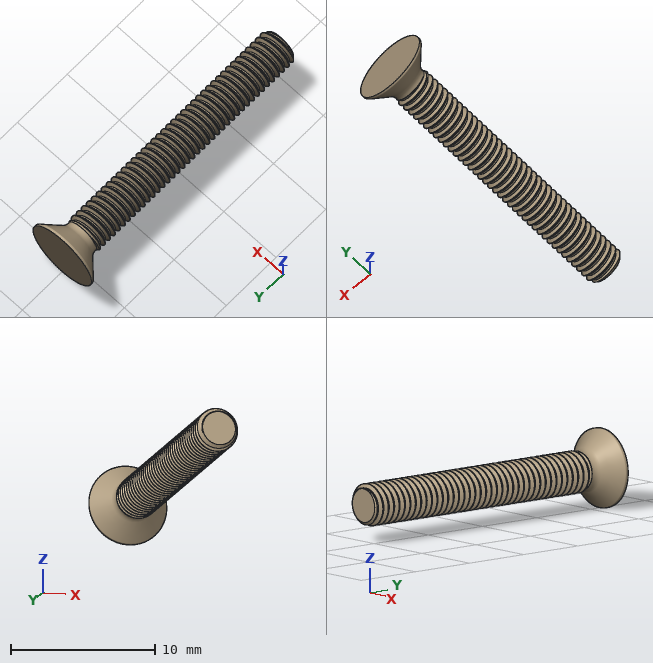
import cadquery as cq
import math


screw_length = 22.0
head_diameter = 5.6
rim_height = 0.2
rim_fillet = 0.09
neck_radius = 1.35
neck_fillet = 0.73
neck_end = 2.05
run_in_length = 0.25
turns_along_screw = 44
major_radius = 1.5
tip_chamfer = 0.3
crest_clearance = 0.07
envelope_seam_angle = 37

pitch = screw_length / turns_along_screw
head_radius = head_diameter / 2
flank_slope = math.tan(math.radians(30))
crest_width = pitch / 8
root_width = pitch / 4
thread_depth = (pitch - crest_width - root_width) / (2 * flank_slope)
minor_radius = major_radius - thread_depth


def revolve_profile(profile):
    """Revolve a half profile, drawn as radius against axial distance, about the screw axis."""
    return profile.close().revolve(360, (0, 0, 0), (0, 1, 0))


def make_head_and_neck():
    """Countersunk head blended into the plain neck."""
    cone_angle = math.radians(45)
    cone_end_radius = neck_radius + neck_fillet * (1 - math.cos(cone_angle))
    cone_end = rim_height + (head_radius - cone_end_radius) / math.tan(cone_angle)
    fillet_end = cone_end + neck_fillet * math.sin(cone_angle)
    mid_angle = cone_angle / 2
    fillet_mid = (
        neck_radius + neck_fillet * (1 - math.cos(mid_angle)),
        fillet_end - neck_fillet * math.sin(mid_angle),
    )
    profile = (
        cq.Workplane("XZ")
        .lineTo(head_radius, 0)
        .lineTo(head_radius, rim_height)
        .lineTo(cone_end_radius, cone_end)
        .threePointArc(fillet_mid, (neck_radius, fillet_end))
        .lineTo(neck_radius, neck_end)
        .lineTo(0, neck_end)
    )
    rim_corner = cq.selectors.NearestToPointSelector((0, 0, rim_height))
    return revolve_profile(profile).edges(rim_corner).fillet(rim_fillet)


def make_thread_envelope():
    """Space the thread may fill: tapered at the run-in, chamfered at the tip, clear of the crests between."""
    run_in_slope = (major_radius - neck_radius) / run_in_length
    profile = (
        cq.Workplane("XZ")
        .moveTo(0, neck_end)
        .lineTo(neck_radius, neck_end)
        .lineTo(major_radius + crest_clearance, neck_end + run_in_length + crest_clearance / run_in_slope)
        .lineTo(major_radius + crest_clearance, screw_length - tip_chamfer - crest_clearance)
        .lineTo(major_radius - tip_chamfer, screw_length)
        .lineTo(0, screw_length)
    )
    return revolve_profile(profile).rotate((0, 0, 0), (0, 0, 1), envelope_seam_angle)


def make_endless_thread():
    """Right-hand threaded rod, crest centred on +X at whole pitches, overrunning both ends of the shank.

    Each turn is skinned with four helical strips: root, flank, crest and flank. A helicoid
    running in to the axis and a flat radial step close each end.
    """
    flank_width = thread_depth * flank_slope
    root_start = -pitch / 2 - root_width / 2
    thread_form = [
        (minor_radius, root_start),
        (minor_radius, root_start + root_width),
        (major_radius, root_start + root_width + flank_width),
        (major_radius, root_start + root_width + flank_width + crest_width),
        (minor_radius, root_start + pitch),
    ]
    first_turn = math.floor(neck_end / pitch) - 1
    last_turn = turns_along_screw + 2

    def helix_turn(radius, height):
        return cq.Wire.makeHelix(pitch, pitch, radius, cq.Vector(0, 0, height)).Edges()[0]

    faces = []
    for turn in range(first_turn, last_turn):
        edges = [helix_turn(radius, turn * pitch + offset) for radius, offset in thread_form]
        faces += [cq.Face.makeRuledSurface(low, high) for low, high in zip(edges, edges[1:])]

    for turn in (first_turn, last_turn):
        base = turn * pitch
        axis_low = cq.Vector(0, 0, base + root_start)
        axis_high = cq.Vector(0, 0, base + root_start + pitch)
        axis = cq.Edge.makeLine(axis_low, axis_high)
        faces.append(cq.Face.makeRuledSurface(axis, helix_turn(minor_radius, base + root_start)))
        step = [cq.Vector(radius, 0, base + offset) for radius, offset in thread_form]
        step_outline = cq.Wire.makePolygon([axis_low, *step, axis_high], close=True)
        faces.append(cq.Face.makeFromWires(step_outline))

    return cq.Workplane(obj=cq.Solid.makeSolid(cq.Shell.makeShell(faces)))


threaded_shank = make_endless_thread().intersect(make_thread_envelope(), clean=False)
screw = make_head_and_neck().union(threaded_shank, clean=False)
result = screw.rotate((0, 0, 0), (1, 0, 0), 90).translate((0, screw_length / 2, 0))